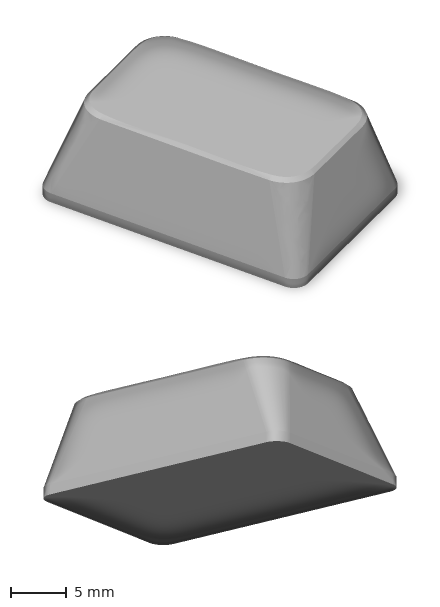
import cadquery as cq

base_length = 27.5
base_width = 18.0
base_corner_radius = 1.5
band_height = 1.0

total_height = 9.0
top_length = 23.43
top_width = 13.97
top_corner_radius = 3.0
top_shift_y = 1.0
top_edge_chamfer = 0.33


def rounded_rectangle(length, width, corner_radius):
    return cq.Sketch().rect(length, width).vertices().fillet(corner_radius)


base_outline = rounded_rectangle(base_length, base_width, base_corner_radius)
top_outline = rounded_rectangle(top_length, top_width, top_corner_radius)

band = cq.Workplane("XY").placeSketch(base_outline).extrude(band_height)

body = (
    cq.Workplane("XY")
    .placeSketch(
        base_outline.moved(cq.Location(cq.Vector(0, 0, band_height))),
        top_outline.moved(cq.Location(cq.Vector(0, top_shift_y, total_height))),
    )
    .loft()
)

body = body.faces(">Z").edges().chamfer(top_edge_chamfer)

result = band.union(body)